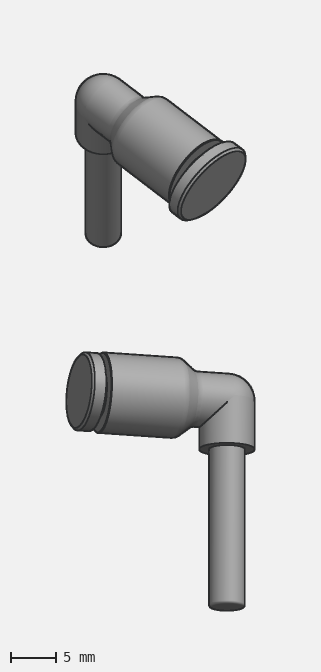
import cadquery as cq


total_length = 20.2
total_height = 28.0
elbow_diameter = 6.2
body_diameter = 9.0

leg_depth = 5.5
stem_diameter = 4.0
stem_end_fillet = 0.28

taper_start = 4.0
taper_end = 5.8
taper_fillet = 0.95
body_end = 14.65
body_rim_chamfer = 0.08

collar_neck_diameter = 5.55
flange_start = 15.5
flange_width = 10.8
flange_height = 8.6
flange_chamfer = 0.28

elbow_radius = elbow_diameter / 2
body_radius = body_diameter / 2
stem_radius = stem_diameter / 2
collar_neck_radius = collar_neck_diameter / 2
flange_end = total_length - elbow_radius
stem_bottom = body_radius - total_height


def cylinder_along_x(radius, start, end):
    return cq.Workplane("YZ", origin=(start, 0, 0)).circle(radius).extrude(end - start)


def cylinder_down_z(radius, bottom):
    return cq.Workplane("XY").circle(radius).extrude(bottom)


def make_elbow():
    """Two equal cylinders joined by a spherical corner."""
    corner = cq.Workplane("XY").sphere(elbow_radius)
    horizontal_leg = cylinder_along_x(elbow_radius, 0, taper_start)
    vertical_leg = cylinder_down_z(elbow_radius, -leg_depth)
    return corner.union(horizontal_leg).union(vertical_leg)


def make_stem():
    stem = cylinder_down_z(stem_radius, stem_bottom)
    return stem.faces("<Z").edges().fillet(stem_end_fillet)


def make_body():
    """Revolved body that widens from the elbow radius through a filleted taper."""
    profile = (
        cq.Workplane("XZ")
        .lineTo(0, elbow_radius)
        .lineTo(taper_start, elbow_radius)
        .lineTo(taper_end, body_radius)
        .lineTo(body_end, body_radius)
        .lineTo(body_end, 0)
        .close()
    )
    body = profile.revolve(360, (0, 0, 0), (1, 0, 0))
    body = body.faces("%CONE").edges("%CIRCLE").fillet(taper_fillet)
    return body.faces(">X").chamfer(body_rim_chamfer)


def make_collar():
    """Round neck carrying an oval flange with a chamfered outer rim."""
    neck = cylinder_along_x(collar_neck_radius, body_end, flange_start)
    flange = (
        cq.Workplane("YZ", origin=(flange_start, 0, 0))
        .ellipse(flange_width / 2, flange_height / 2)
        .extrude(flange_end - flange_start)
        .faces(">X")
        .chamfer(flange_chamfer)
    )
    return neck.union(flange)


result = make_elbow().union(make_stem()).union(make_body()).union(make_collar())